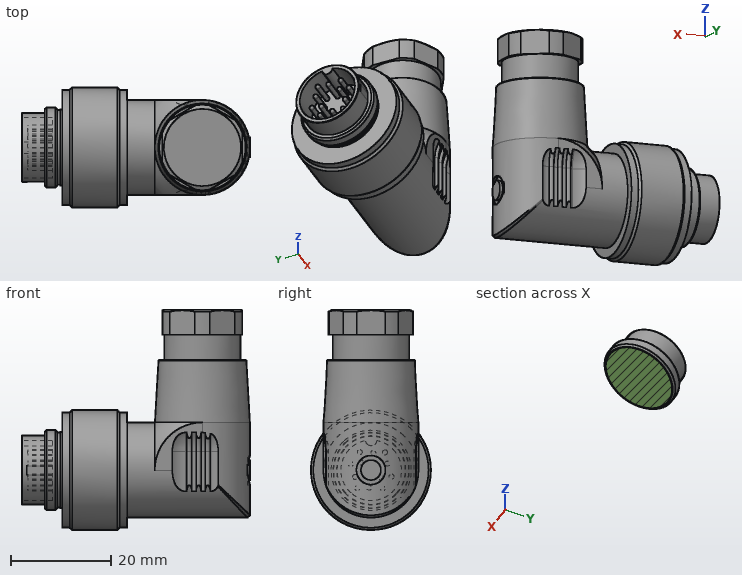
import cadquery as cq
import math


SHELL_DIA = 13.8
SHELL_EDGE = 0.1
BORE_DIA = 12.1
BORE_DEPTH = 6.0
COLLAR_X = 4.5
COLLAR_END_X = 7.05
COLLAR_DIA = 16.0
COLLAR_BASE_DIA = 15.2
COLLAR_CHAMFER = (COLLAR_DIA - COLLAR_BASE_DIA) / 2
NECK_DIA = 15.0
NECK_X = 7.65

KEY_RADIUS = 1.15
FLAT_WIDTH = 1.8
FLAT_X = 0.95

PIN_DIA = 1.0
PIN_TIP_X = 1.0
HALF_PIN_PATTERN = [
    (2.76, 3.58),
    (0.42, 3.46),
    (-2.28, 3.62),
    (3.23, 1.32),
    (-1.98, 1.51),
    (-4.06, 1.25),
]

RING_X = 8.0
RING_END_X = 21.0
RING_FLANGE_DIA = 23.0
RING_DIA = 24.0
RING_CHAMFER = 0.5
RING_GRIP_X = 9.5
RING_GRIP_END_X = 19.5

HOUSING_DIA = 19.0
HOUSING_R = HOUSING_DIA / 2
OUTLET_X = 36.0
MITRE_BEVEL = 0.35
DISC_DIA = 4.0
RECESS_DIA = 5.8
RECESS_DEPTH = 0.6

CONE_TOP_DIA = 17.6
CONE_TOP_Z = 22.0
CONE_EDGE = 0.2
THROAT_DIA = 15.3
NUT_Z = 27.0
NUT_TOP_Z = 32.0
NUT_FLATS = 16.0
NUT_DIA = 17.0
NUT_FACE_DIA = 15.4
NUT_CHAMFER_HEIGHT = 0.4

GRIP_DEPTH = 1.0
GRIP_LEFT_X = 30.0
GRIP_FLOOR_LEFT_X = 32.6
GRIP_FLOOR_RIGHT_X = 37.7
GRIP_RIGHT_WALL_R = 2.5
GRIP_BEND_Z = 3.8
GRIP_BOTTOM_Z = -HOUSING_R
GRIP_TOP_Z = 7.5
RIB_RADIUS = 0.5
RIB_PITCH = 1.84
MIDDLE_RIB_X = 35.23


def cylinder_x(dia, start, end):
    return cq.Workplane("YZ", origin=(start, 0, 0)).circle(dia / 2).extrude(end - start)


def cylinder_z(dia, start, end):
    return cq.Workplane("XY", origin=(OUTLET_X, 0, start)).circle(dia / 2).extrude(end - start)


def make_shell():
    shell = cylinder_x(SHELL_DIA, 0, RING_X).faces("<X").edges().chamfer(SHELL_EDGE)
    collar = cylinder_x(COLLAR_DIA, COLLAR_X, COLLAR_END_X).edges().chamfer(COLLAR_CHAMFER)
    neck = cylinder_x(NECK_DIA, COLLAR_END_X, NECK_X)
    neck_base = cylinder_x(COLLAR_BASE_DIA, NECK_X, RING_X)
    return shell.union(collar).union(neck).union(neck_base)


def make_shell_flat():
    """Cutter for the narrow flat on the -Y side of the shell, ending at the collar."""
    flat_y = -math.sqrt((SHELL_DIA / 2) ** 2 - (FLAT_WIDTH / 2) ** 2)
    return (
        cq.Workplane("XY")
        .box(COLLAR_X - FLAT_X, SHELL_DIA, SHELL_DIA, centered=(False, False, True))
        .translate((FLAT_X, flat_y - SHELL_DIA, 0))
    )


def make_bore():
    """Cutter for the plug bore, leaving the key rib along its top."""
    key = cylinder_x(2 * KEY_RADIUS, 0, BORE_DEPTH).translate((0, 0, BORE_DIA / 2))
    return cylinder_x(BORE_DIA, 0, BORE_DEPTH).cut(key)


def make_pins():
    pins = cq.Workplane("XY")
    pattern = HALF_PIN_PATTERN + [(-y, -z) for y, z in HALF_PIN_PATTERN]
    tip_r = PIN_DIA / 2
    for y, z in pattern:
        pin = cylinder_x(PIN_DIA, PIN_TIP_X + tip_r, BORE_DEPTH + tip_r)
        tip = cq.Workplane("XY").sphere(tip_r).translate((PIN_TIP_X + tip_r, 0, 0))
        pins = pins.add(pin.union(tip).translate((0, y, z)))
    return pins.combine()


def make_ring():
    flange = cylinder_x(RING_FLANGE_DIA, RING_X, RING_END_X)
    grip = cylinder_x(RING_DIA, RING_GRIP_X, RING_GRIP_END_X).edges().chamfer(RING_CHAMFER)
    return flange.union(grip)


def make_shoulder():
    """Ball-shaped inner corner of the elbow, cut flat on all its sides."""
    block = (
        cq.Workplane("XY")
        .box(HOUSING_R, HOUSING_DIA, HOUSING_R, centered=(False, True, False))
        .translate((OUTLET_X - HOUSING_R, 0, 0))
    )
    ball = cq.Workplane("XY").sphere(HOUSING_R * math.sqrt(2)).translate((OUTLET_X, 0, 0))
    return block.intersect(ball)


def make_mitre():
    """Outer corner of the elbow, where both cylinders meet at 45 degrees with a bevelled edge."""
    far_end = OUTLET_X + HOUSING_R
    corner = cylinder_x(HOUSING_DIA, OUTLET_X, far_end).intersect(
        cylinder_z(HOUSING_DIA, -HOUSING_R, 0)
    )
    mitre_plane = cq.Plane(origin=(OUTLET_X, 0, 0), xDir=(1, 0, -1), normal=(1, 0, 1))
    bevel = (
        cq.Workplane(mitre_plane)
        .ellipse(HOUSING_R * math.sqrt(2) - MITRE_BEVEL, HOUSING_R)
        .extrude(HOUSING_DIA, both=True)
    )
    return corner.intersect(bevel)


def add_disc(elbow):
    """Small flat disc on the +X side of the elbow, standing in a round recess."""
    end = OUTLET_X + HOUSING_R
    start = end - RECESS_DEPTH
    recess = cylinder_x(RECESS_DIA, start, end)
    return elbow.cut(recess).union(cylinder_x(DISC_DIA, start, end))


def make_elbow():
    barrel = cylinder_x(HOUSING_DIA, RING_END_X, OUTLET_X)
    column = cylinder_z(HOUSING_DIA, 0, HOUSING_R)
    elbow = barrel.union(column).union(make_mitre()).union(make_shoulder())
    return add_disc(elbow)


def make_outlet():
    profile = [
        (0, HOUSING_R),
        (HOUSING_R, HOUSING_R),
        (CONE_TOP_DIA / 2, CONE_TOP_Z - CONE_EDGE),
        (CONE_TOP_DIA / 2 - CONE_EDGE, CONE_TOP_Z),
        (THROAT_DIA / 2, CONE_TOP_Z),
        (THROAT_DIA / 2, NUT_Z),
        (0, NUT_Z),
    ]
    outlet = cq.Workplane("XZ").polyline(profile).close().revolve(360, (0, 0), (0, 1))
    return outlet.translate((OUTLET_X, 0, 0))


def make_nut():
    """Hexagon with two flats facing X, turned down to a round with a chamfered top."""
    corner_dia = NUT_FLATS / math.cos(math.pi / 6)
    hexagon = (
        cq.Workplane("XY")
        .polygon(6, corner_dia)
        .extrude(NUT_TOP_Z - NUT_Z)
        .rotate((0, 0, 0), (0, 0, 1), 30)
        .translate((OUTLET_X, 0, NUT_Z))
    )
    chamfer_width = (NUT_DIA - NUT_FACE_DIA) / 2
    blank = cylinder_z(NUT_DIA, NUT_Z, NUT_TOP_Z)
    blank = blank.faces(">Z").edges().chamfer(NUT_CHAMFER_HEIGHT, chamfer_width)
    return hexagon.intersect(blank)


def make_grip():
    """Cutter for the -Y finger recess: one profile run up along Z, then bent outwards."""
    face_y = -HOUSING_R
    floor_y = face_y + GRIP_DEPTH
    wall_width = GRIP_FLOOR_LEFT_X - GRIP_LEFT_X
    left_wall_r = (wall_width**2 + GRIP_DEPTH**2) / (2 * GRIP_DEPTH)
    left_mid_x = GRIP_FLOOR_LEFT_X - wall_width / 2
    left_mid_y = floor_y - left_wall_r + math.sqrt(left_wall_r**2 - (wall_width / 2) ** 2)

    right_width = math.sqrt(GRIP_RIGHT_WALL_R**2 - (GRIP_RIGHT_WALL_R - GRIP_DEPTH) ** 2)
    right_x = GRIP_FLOOR_RIGHT_X + right_width
    right_mid_x = GRIP_FLOOR_RIGHT_X + right_width / 2
    right_mid_y = floor_y - GRIP_RIGHT_WALL_R + math.sqrt(GRIP_RIGHT_WALL_R**2 - (right_width / 2) ** 2)

    profile = cq.Workplane("XY", origin=(0, 0, GRIP_BEND_Z)).moveTo(GRIP_LEFT_X, face_y)
    profile = profile.threePointArc((left_mid_x, left_mid_y), (GRIP_FLOOR_LEFT_X, floor_y))
    for index in (-1, 0, 1):
        rib_x = MIDDLE_RIB_X + index * RIB_PITCH
        profile = profile.lineTo(rib_x - RIB_RADIUS, floor_y)
        profile = profile.threePointArc((rib_x, floor_y - RIB_RADIUS), (rib_x + RIB_RADIUS, floor_y))
    profile = profile.lineTo(GRIP_FLOOR_RIGHT_X, floor_y)
    profile = profile.threePointArc((right_mid_x, right_mid_y), (right_x, face_y)).close()

    bend_rise = GRIP_TOP_Z - GRIP_BEND_Z
    bend_r = (bend_rise**2 + GRIP_DEPTH**2) / (2 * GRIP_DEPTH)
    bend_y = floor_y - bend_r
    straight = profile.extrude(GRIP_BOTTOM_Z - GRIP_BEND_Z)
    bend = profile.toPending().revolve(90, (0, bend_y, 0), (1, bend_y, 0))
    return straight.union(bend)


grip = make_grip()
housing = make_elbow().cut(grip).cut(grip.mirror("XZ"))
plug = make_shell().cut(make_shell_flat()).union(make_ring())
result = plug.union(housing).union(make_outlet()).union(make_nut())
result = result.cut(make_bore()).union(make_pins())